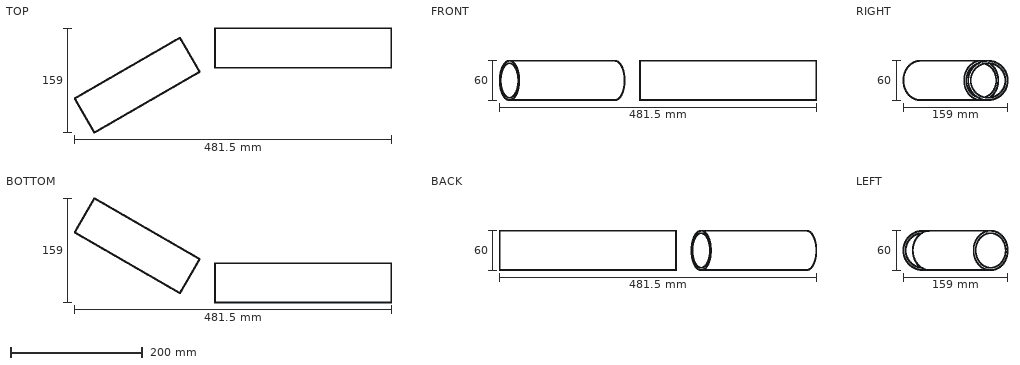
import cadquery as cq
import math

OUTER_DIAMETER = 60.0
WALL = 4.0

TOTAL_LENGTH = 481.5
TOTAL_WIDTH = 159.0

STRAIGHT_LENGTH = 268.0

ANGLED_LENGTH = 185.0
BEND_ANGLE = 30.0

OUTER_RADIUS = OUTER_DIAMETER / 2
BEND_COS = math.cos(math.radians(BEND_ANGLE))
BEND_SIN = math.sin(math.radians(BEND_ANGLE))

STRAIGHT_START_X = TOTAL_LENGTH - STRAIGHT_LENGTH

ANGLED_START_X = OUTER_RADIUS * BEND_SIN
ANGLED_START_Y = OUTER_RADIUS - TOTAL_WIDTH + OUTER_RADIUS * BEND_COS


def make_pipe(start_x, start_y, length, angle):
    """Open round pipe with its axis in the XY plane, at an angle in degrees from X."""
    direction = (math.cos(math.radians(angle)), math.sin(math.radians(angle)), 0)
    end_plane = cq.Plane(origin=(start_x, start_y, 0), xDir=(0, 0, 1), normal=direction)
    return (
        cq.Workplane(end_plane)
        .circle(OUTER_RADIUS)
        .circle(OUTER_RADIUS - WALL)
        .extrude(length)
    )


straight_pipe = make_pipe(STRAIGHT_START_X, 0, STRAIGHT_LENGTH, 0)
angled_pipe = make_pipe(ANGLED_START_X, ANGLED_START_Y, ANGLED_LENGTH, BEND_ANGLE)

result = cq.Compound.makeCompound([straight_pipe.val(), angled_pipe.val()])